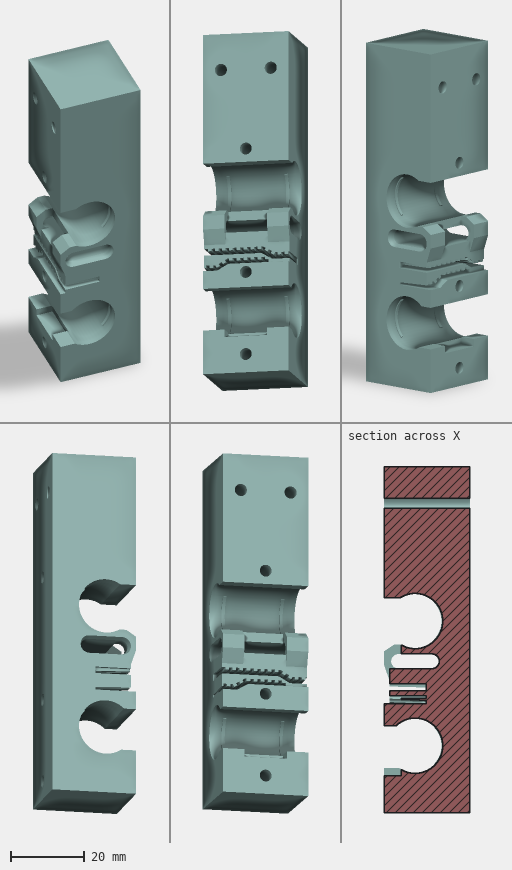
import cadquery as cq
import math

WIDTH = 24.0
DEPTH = 23.5
HEIGHT = 94.68
MARGIN = 1.0
HALF_WIDTH = WIDTH / 2

SCREW_DIAMETER = 3.3
MOUNT_DIAMETER = 3.4
MOUNT_X = 7.0
MOUNT_Z = 84.68
SCREW_HOLES = [
    (-MOUNT_X, MOUNT_Z, MOUNT_DIAMETER),
    (MOUNT_X, MOUNT_Z, MOUNT_DIAMETER),
    (0, 62.45, SCREW_DIAMETER),
    (0, 28.0, SCREW_DIAMETER),
    (0, 5.1, SCREW_DIAMETER),
]

BEARING_DIAMETER = 15.0
BEARING_RADIUS = BEARING_DIAMETER / 2
BEARING_Y = 8.5
UPPER_BEARING_Z = 52.45
LOWER_BEARING_Z = 18.35
UPPER_MOUTH_TOP = 58.75
UPPER_MOUTH_BOTTOM = 46.0
LOWER_MOUTH_TOP = 23.8
LOWER_MOUTH_BOTTOM = 12.2

RIB_X = 8.15
RIB_WIDTH = 0.9
RIB_HEIGHT = 0.3
RIB_HALF_ANGLE = 45.0

TIE_WIDTH = 12.0
TIE_SLOT_BOTTOM = 39.5
TIE_SLOT_HEIGHT = 3.9
TIE_SLOT_FRONT = 1.95
TIE_SLOT_BACK = 15.05
TIE_FLARE = 0.5
TIE_FLARE_LENGTH = 2.0
UPPER_NOTCH_DEPTH = 4.7
LOWER_NOTCH_DEPTH = 4.7
LOWER_NOTCH_BOTTOM = 10.15

RELIEF_DEPTH = 1.45
HORN_TOP_Y = 2.7
HORN_FRONT_TOP = 44.2
HORN_FRONT_BOTTOM = 40.4
HORN_ROOT_Z = 36.3

BELT_BACK_Y = 11.45
BELT_HEIGHT = 1.8
BELT_STEP = 1.75
BELT_SLOPE_RUN = 3.1
BELT_SLOPE_ANGLE = math.atan2(BELT_STEP, BELT_SLOPE_RUN)
BELT_SLOPE_LENGTH = math.hypot(BELT_STEP, BELT_SLOPE_RUN)
UPPER_BELT_Z = 33.4
UPPER_SLOPE_X = 4.05
LOWER_BELT_Z = 30.5
LOWER_SLOPE_X = -4.95
LOWER_BELT_END_X = 6.0

TOOTH_PITCH = 2.0
TOOTH_WIDTH = 1.0
TOOTH_PHASE_X = -0.5
GAP_FRONT = 1.15
GAP_BACK = 0.66
UPPER_LEVEL_GAP_BACK = 0.87


def box(x_range, y_range, z_range):
    """Axis-aligned box from three (low, high) pairs."""
    sizes = [high - low for low, high in (x_range, y_range, z_range)]
    corner = (x_range[0], y_range[0], z_range[0])
    return cq.Workplane("XY").box(*sizes, centered=False).translate(corner)


def side_prism(points, x_low, x_high):
    """Prism along x from a (y, z) outline."""
    return cq.Workplane("YZ", origin=(x_low, 0, 0)).polyline(points).close().extrude(x_high - x_low)


def front_prism(points, y_low, y_high):
    """Prism along y from an (x, z) outline."""
    return cq.Workplane("XZ", origin=(0, y_low, 0)).polyline(points).close().extrude(y_low - y_high)


def screw_hole(x, z, diameter):
    return cq.Workplane("XZ", origin=(x, 0, z)).circle(diameter / 2).extrude(-DEPTH)


def bearing_cut(center_z, mouth_bottom, mouth_top):
    bore = (
        cq.Workplane("YZ", origin=(-HALF_WIDTH, BEARING_Y, center_z))
        .circle(BEARING_RADIUS)
        .extrude(WIDTH)
    )
    mouth = box((-HALF_WIDTH, HALF_WIDTH), (-MARGIN, BEARING_Y), (mouth_bottom, mouth_top))
    return bore.union(mouth)


def bearing_ribs(center_z):
    """Two arc ribs on the back wall of a bore."""
    angle = math.radians(RIB_HALF_ANGLE)
    inner = BEARING_RADIUS - RIB_HEIGHT
    outer = BEARING_RADIUS + RIB_HEIGHT
    c, s = math.cos(angle), math.sin(angle)
    ribs = cq.Workplane("YZ")
    for x in (-RIB_X, RIB_X):
        rib = (
            cq.Workplane("YZ", origin=(x, BEARING_Y, center_z))
            .moveTo(inner * c, -inner * s)
            .threePointArc((inner, 0), (inner * c, inner * s))
            .lineTo(outer * c, outer * s)
            .threePointArc((outer, 0), (outer * c, -outer * s))
            .close()
            .extrude(RIB_WIDTH / 2, both=True)
        )
        ribs = ribs.add(rib)
    return ribs.combine()


def tie_slot():
    """Rounded slot through x, flaring towards both side faces."""
    length = TIE_SLOT_BACK - TIE_SLOT_FRONT
    center = ((TIE_SLOT_FRONT + TIE_SLOT_BACK) / 2, TIE_SLOT_BOTTOM + TIE_SLOT_HEIGHT / 2)
    slot = (
        cq.Workplane("YZ", origin=(-HALF_WIDTH, *center))
        .slot2D(length, TIE_SLOT_HEIGHT)
        .extrude(WIDTH)
    )
    taper = math.degrees(math.atan2(TIE_FLARE, TIE_FLARE_LENGTH))
    for side in (-1, 1):
        flare = (
            cq.Workplane("YZ", origin=(side * HALF_WIDTH, *center))
            .slot2D(length + 2 * TIE_FLARE, TIE_SLOT_HEIGHT + 2 * TIE_FLARE)
            .extrude(-side * TIE_FLARE_LENGTH, taper=taper)
        )
        slot = slot.union(flare)
    return slot


def tie_notches():
    """Central notches that let the cable tie reach the bearings."""
    half = TIE_WIDTH / 2
    across = (-half, half)
    upper = box(across, (-MARGIN, UPPER_NOTCH_DEPTH), (TIE_SLOT_BOTTOM, UPPER_BEARING_Z))
    upper_front = box(across, (-MARGIN, RELIEF_DEPTH), (HORN_ROOT_Z, TIE_SLOT_BOTTOM))
    lower = box(across, (-MARGIN, LOWER_NOTCH_DEPTH), (LOWER_NOTCH_BOTTOM, LOWER_BEARING_Z))
    return upper.union(upper_front).union(lower)


def horn_top_cut():
    """Slope from the upper mouth down to the front face."""
    outline = [(0, HORN_FRONT_TOP), (HORN_TOP_Y, UPPER_MOUTH_BOTTOM), (0, UPPER_MOUTH_BOTTOM)]
    return side_prism(outline, -HALF_WIDTH, HALF_WIDTH)


def belt_floor(slope_x, level_z, slope_direction):
    """Floor points from left to right; the slope falls away from x = slope_x."""
    far_x = slope_x + slope_direction * BELT_SLOPE_RUN
    low_z = level_z - BELT_STEP
    points = [
        (-slope_direction * HALF_WIDTH, level_z),
        (slope_x, level_z),
        (far_x, low_z),
        (slope_direction * HALF_WIDTH, low_z),
    ]
    return points[::slope_direction]


def front_relief():
    """Shallow recess from the lower belt floor up to the undercut of the horns."""
    outline = belt_floor(LOWER_SLOPE_X, LOWER_BELT_Z, -1)
    outline += [(HALF_WIDTH, HORN_ROOT_Z), (-HALF_WIDTH, HORN_ROOT_Z)]
    recess = front_prism(outline, 0, RELIEF_DEPTH)
    undercut = [(0, HORN_ROOT_Z), (RELIEF_DEPTH, HORN_ROOT_Z), (0, HORN_FRONT_BOTTOM)]
    return recess.union(side_prism(undercut, -HALF_WIDTH, HALF_WIDTH))


def bend_shift(height):
    """Shift along x of a floor bend when the floor is offset upwards, square to itself."""
    return height * math.tan(BELT_SLOPE_ANGLE / 2)


def belt_tooth(x, z, angle, gap_back):
    """Tooth hanging from the groove roof with its front tip at (x, z); the tip sinks towards the back."""
    tangent = (math.cos(angle), 0, math.sin(angle))
    plane = cq.Plane(origin=(x, 0, z), xDir=(0, 1, 0), normal=tangent)
    outline = [
        (RELIEF_DEPTH, 0),
        (BELT_BACK_Y, gap_back - GAP_FRONT),
        (BELT_BACK_Y, BELT_HEIGHT),
        (RELIEF_DEPTH, BELT_HEIGHT),
    ]
    return cq.Workplane(plane).polyline(outline).close().extrude(TOOTH_WIDTH / 2, both=True)


def belt_channel(slope_x, level_z, slope_direction, level_end_x):
    """Groove of even height along the stepped floor, from x = level_end_x to the far side face."""
    floor = belt_floor(slope_x, level_z, slope_direction)
    shift = slope_direction * bend_shift(BELT_HEIGHT)
    left, *bends, right = [(x, z + BELT_HEIGHT) for x, z in floor]
    roof = [left] + [(x + shift, z) for x, z in bends] + [right]
    channel = front_prism(floor + roof[::-1], RELIEF_DEPTH, BELT_BACK_Y)
    kept_x = sorted((level_end_x, slope_direction * HALF_WIDTH))
    return channel.intersect(box(kept_x, (0, DEPTH), (0, HEIGHT)))


def belt_groove(slope_x, level_z, slope_direction, level_end_x, level_gap_back):
    """Belt channel less its teeth, which sit at even pitch along the line of the front tips."""
    groove = belt_channel(slope_x, level_z, slope_direction, level_end_x)
    tip_bend_x = slope_x + slope_direction * bend_shift(GAP_FRONT)
    tip_z = level_z + GAP_FRONT

    phase = slope_direction * (TOOTH_PHASE_X - tip_bend_x) % TOOTH_PITCH
    teeth_each_way = math.ceil(WIDTH / TOOTH_PITCH)
    for index in range(-teeth_each_way, teeth_each_way):
        along = phase + index * TOOTH_PITCH
        on_slope = min(max(along / BELT_SLOPE_LENGTH, 0), 1)
        on_level = along - on_slope * BELT_SLOPE_LENGTH
        x = tip_bend_x + slope_direction * (on_level + on_slope * BELT_SLOPE_RUN)
        z = tip_z - on_slope * BELT_STEP
        angle = -slope_direction * BELT_SLOPE_ANGLE if 0 < on_slope < 1 else 0
        gap_back = level_gap_back if along < 0 else GAP_BACK
        if abs(x) < HALF_WIDTH + TOOTH_WIDTH:
            groove = groove.cut(belt_tooth(x, z, angle, gap_back))
    return groove


result = box((-HALF_WIDTH, HALF_WIDTH), (0, DEPTH), (0, HEIGHT))
for hole in SCREW_HOLES:
    result = result.cut(screw_hole(*hole))

result = result.cut(bearing_cut(UPPER_BEARING_Z, UPPER_MOUTH_BOTTOM, UPPER_MOUTH_TOP))
result = result.cut(bearing_cut(LOWER_BEARING_Z, LOWER_MOUTH_BOTTOM, LOWER_MOUTH_TOP))
result = result.cut(horn_top_cut())
result = result.cut(front_relief())
result = result.cut(tie_slot())
result = result.cut(tie_notches())
result = result.cut(belt_groove(UPPER_SLOPE_X, UPPER_BELT_Z, 1, -HALF_WIDTH, UPPER_LEVEL_GAP_BACK))
result = result.cut(belt_groove(LOWER_SLOPE_X, LOWER_BELT_Z, -1, LOWER_BELT_END_X, GAP_BACK))
for bearing_z in (UPPER_BEARING_Z, LOWER_BEARING_Z):
    result = result.union(bearing_ribs(bearing_z))